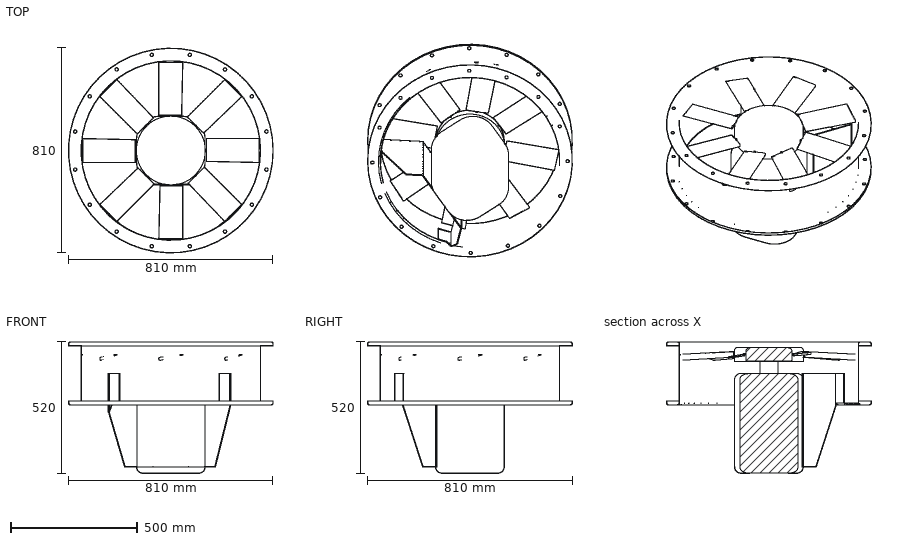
import cadquery as cq
import math

CASING_HEIGHT = 250.0
FLANGE_RADIUS = 405.0
BORE_RADIUS = 354.0
SHEET = 1.2
BEND_RADIUS = 8.0
LIP_HEIGHT = 16.0

BOLT_COUNT = 16
BOLT_CIRCLE_RADIUS = 385.5
BOLT_DIAMETER = 12.0

MOTOR_WIDTH = 272.0
MOTOR_CORNER_RADIUS = 92.0
MOTOR_END_FILLET = 26.0
MOTOR_TOP = CASING_HEIGHT / 2
MOTOR_BOTTOM = -270.0

HUB_RADIUS = 273.0 / 2
HUB_BOTTOM = 172.5
HUB_TOP = 228.5
HUB_FILLET = 14.0
SHAFT_DIAMETER = 70.5

BLADE_COUNT = 8
BLADE_ROOT_RADIUS = 140.0
BLADE_TIP_RADIUS = 349.0
THICK_EDGE_RADIUS = 6.1
THIN_EDGE_RADIUS = 2.0
THICK_EDGE_OFFSET = 41.7
ROOT_THIN_EDGE_OFFSET = 41.7
TIP_THIN_EDGE_OFFSET = 46.0
ROOT_LOW_EDGE_Z = 191.0
ROOT_HIGH_EDGE_Z = 206.0
TIP_LOW_EDGE_Z = 183.0
TIP_HIGH_EDGE_Z = 199.0
PIN_DIAMETER = 7.0
PIN_Z = (HUB_BOTTOM + HUB_TOP) / 2
PIN_EMBED = 1.0

BRACKET_THICKNESS = 4.0
BRACKET_TOP = MOTOR_TOP
BRACKET_BOTTOM = -245.0
PLATE_HALF_WIDTH = 134.5
PLATE_FACE_Y = -MOTOR_WIDTH / 2
LEFT_WING_FOOT = (-179.0, -187.0)
LEFT_WING_END = (-244.0, -257.0)
LEFT_WING_END_Z = -27.0
RIGHT_WING_FOOT = (173.0, -187.0)
RIGHT_WING_END = (234.0, -266.5)
RIGHT_WING_END_Z = 0.0
TAB_WIDTH = 53.0
TAB_STAND_OUT = 0.4
TAB_OUTER_RADIUS = BORE_RADIUS + SHEET + TAB_STAND_OUT
TAB_BOTTOM = 8.0
TAB_EDGE_SLOPE = 2.0


def make_casing():
    lip_radius = FLANGE_RADIUS - BEND_RADIUS
    neck_radius = BORE_RADIUS + BEND_RADIUS
    low = BEND_RADIUS
    high = CASING_HEIGHT - BEND_RADIUS
    back_bend = BEND_RADIUS - SHEET
    diagonal = math.sqrt(0.5)

    def bend(outline, center, radius, side, end_side):
        """Add a quarter bend round `center`, from its `side` direction to its `end_side` direction."""
        middle = [center[i] + radius * diagonal * (side[i] + end_side[i]) for i in (0, 1)]
        end = [center[i] + radius * end_side[i] for i in (0, 1)]
        return outline.threePointArc(tuple(middle), tuple(end))

    out, inward, up, down = (1, 0), (-1, 0), (0, 1), (0, -1)
    outline = cq.Workplane("XZ").moveTo(FLANGE_RADIUS, LIP_HEIGHT).lineTo(FLANGE_RADIUS, low)
    outline = bend(outline, (lip_radius, low), BEND_RADIUS, out, down).lineTo(neck_radius, 0)
    outline = bend(outline, (neck_radius, low), BEND_RADIUS, down, inward).lineTo(BORE_RADIUS, high)
    outline = bend(outline, (neck_radius, high), BEND_RADIUS, inward, up).lineTo(lip_radius, CASING_HEIGHT)
    outline = bend(outline, (lip_radius, high), BEND_RADIUS, up, out)
    outline = outline.lineTo(FLANGE_RADIUS, CASING_HEIGHT - LIP_HEIGHT)
    outline = outline.lineTo(FLANGE_RADIUS - SHEET, CASING_HEIGHT - LIP_HEIGHT)
    outline = outline.lineTo(FLANGE_RADIUS - SHEET, high)
    outline = bend(outline, (lip_radius, high), back_bend, out, up)
    outline = outline.lineTo(neck_radius, CASING_HEIGHT - SHEET)
    outline = bend(outline, (neck_radius, high), back_bend, up, inward)
    outline = outline.lineTo(BORE_RADIUS + SHEET, low)
    outline = bend(outline, (neck_radius, low), back_bend, inward, down).lineTo(lip_radius, SHEET)
    outline = bend(outline, (lip_radius, low), back_bend, down, out)
    outline = outline.lineTo(FLANGE_RADIUS - SHEET, LIP_HEIGHT).close()
    casing = outline.revolve(360, (0, 0, 0), (0, 1, 0))

    bolt_holes = (
        cq.Workplane("XY")
        .polarArray(BOLT_CIRCLE_RADIUS, 180 / BOLT_COUNT, 360, BOLT_COUNT)
        .circle(BOLT_DIAMETER / 2)
        .extrude(CASING_HEIGHT)
    )
    return casing.cut(bolt_holes)


def make_motor():
    return (
        cq.Workplane("XY", origin=(0, 0, MOTOR_BOTTOM))
        .rect(MOTOR_WIDTH, MOTOR_WIDTH)
        .extrude(MOTOR_TOP - MOTOR_BOTTOM)
        .edges("|Z")
        .fillet(MOTOR_CORNER_RADIUS)
        .faces("<Z or >Z")
        .edges()
        .fillet(MOTOR_END_FILLET)
    )


def make_hub():
    hub = (
        cq.Workplane("XY", origin=(0, 0, HUB_BOTTOM))
        .circle(HUB_RADIUS)
        .extrude(HUB_TOP - HUB_BOTTOM)
        .faces(">Z")
        .edges()
        .fillet(HUB_FILLET)
    )
    shaft = (
        cq.Workplane("XY", origin=(0, 0, MOTOR_TOP))
        .circle(SHAFT_DIAMETER / 2)
        .extrude(HUB_BOTTOM - MOTOR_TOP)
    )
    return hub.union(shaft)


def blade_section(radius, low_edge, high_edge):
    """Teardrop wire at x = radius; each edge is (y, z, edge radius), joined by tangent lines."""
    y_low, z_low, r_low = low_edge
    y_high, z_high, r_high = high_edge
    length = math.hypot(y_high - y_low, z_high - z_low)
    chord_angle = math.atan2(z_high - z_low, y_high - y_low)
    tangent_angle = math.acos((r_low - r_high) / length)

    def on_edge(edge, angle):
        y, z, r = edge
        return cq.Vector(radius, y + r * math.cos(angle), z + r * math.sin(angle))

    above = chord_angle + tangent_angle
    below = chord_angle - tangent_angle
    return cq.Wire.assembleEdges([
        cq.Edge.makeLine(on_edge(low_edge, above), on_edge(high_edge, above)),
        cq.Edge.makeThreePointArc(
            on_edge(high_edge, above), on_edge(high_edge, chord_angle), on_edge(high_edge, below)
        ),
        cq.Edge.makeLine(on_edge(high_edge, below), on_edge(low_edge, below)),
        cq.Edge.makeThreePointArc(
            on_edge(low_edge, below), on_edge(low_edge, chord_angle + math.pi), on_edge(low_edge, above)
        ),
    ])


def make_blade():
    """One blade along +X with the pin that holds it to the hub."""
    root = blade_section(
        BLADE_ROOT_RADIUS,
        (-ROOT_THIN_EDGE_OFFSET, ROOT_LOW_EDGE_Z, THIN_EDGE_RADIUS),
        (THICK_EDGE_OFFSET, ROOT_HIGH_EDGE_Z, THICK_EDGE_RADIUS),
    )
    tip = blade_section(
        BLADE_TIP_RADIUS,
        (-THICK_EDGE_OFFSET, TIP_LOW_EDGE_Z, THICK_EDGE_RADIUS),
        (TIP_THIN_EDGE_OFFSET, TIP_HIGH_EDGE_Z, THIN_EDGE_RADIUS),
    )
    blade = cq.Workplane(cq.Solid.makeLoft([root, tip], True))
    pin = (
        cq.Workplane("YZ", origin=(HUB_RADIUS - PIN_EMBED, 0, PIN_Z))
        .circle(PIN_DIAMETER / 2)
        .extrude(BLADE_ROOT_RADIUS - HUB_RADIUS + 2 * PIN_EMBED)
    )
    return blade.union(pin)


def make_wing(side, foot, end, end_z):
    """Wing from the plate edge on `side` (-1 or 1), with its tab curving round the casing.

    `foot` is the (x, y) of its bottom outer corner; its outer edge slopes from there up to
    the (x, y) of `end` at height `end_z`, then rises straight to the bracket top.
    """
    root_x, root_y = side * PLATE_HALF_WIDTH, PLATE_FACE_Y
    span = math.hypot(end[0] - root_x, end[1] - root_y)
    foot_span = math.hypot(foot[0] - root_x, foot[1] - root_y)
    up = cq.Vector(0, 0, 1)
    along = cq.Vector(end[0] - root_x, end[1] - root_y, 0)
    wing_plane = cq.Plane((root_x, root_y, 0), along, along.cross(up))
    wing = (
        cq.Workplane(wing_plane)
        .polyline([
            (-BRACKET_THICKNESS, BRACKET_BOTTOM),
            (foot_span, BRACKET_BOTTOM),
            (span, end_z),
            (span, BRACKET_TOP),
            (-BRACKET_THICKNESS, BRACKET_TOP),
        ])
        .close()
        .extrude(-side * BRACKET_THICKNESS)
    )

    half_angle = math.asin(TAB_WIDTH / 2 / BORE_RADIUS)
    tab_angle = math.atan2(end[1], end[0]) - side * half_angle
    tab_along = cq.Vector(side * math.sin(tab_angle), -side * math.cos(tab_angle), 0)
    tab_plane = cq.Plane((0, 0, 0), tab_along, tab_along.cross(up))
    tab_start = -TAB_WIDTH / 2
    tab_end = TAB_WIDTH / 2
    tab_sides = (
        cq.Workplane(tab_plane)
        .polyline([
            (tab_start - BRACKET_THICKNESS, end_z),
            (tab_start, end_z),
            (tab_start + (TAB_BOTTOM - end_z) / TAB_EDGE_SLOPE, TAB_BOTTOM),
            (tab_end, TAB_BOTTOM),
            (tab_end, BRACKET_TOP),
            (tab_start - BRACKET_THICKNESS, BRACKET_TOP),
        ])
        .close()
        .extrude(-side * FLANGE_RADIUS)
    )
    tab_ring = (
        cq.Workplane("XY", origin=(0, 0, BRACKET_BOTTOM))
        .circle(TAB_OUTER_RADIUS)
        .circle(TAB_OUTER_RADIUS - BRACKET_THICKNESS)
        .extrude(BRACKET_TOP - BRACKET_BOTTOM)
    )
    return wing.union(tab_ring.intersect(tab_sides))


def make_bracket():
    plate = (
        cq.Workplane("XY", origin=(0, PLATE_FACE_Y, BRACKET_BOTTOM))
        .box(
            2 * PLATE_HALF_WIDTH,
            BRACKET_THICKNESS,
            BRACKET_TOP - BRACKET_BOTTOM,
            centered=(True, False, False),
        )
    )
    left_wing = make_wing(-1, LEFT_WING_FOOT, LEFT_WING_END, LEFT_WING_END_Z)
    right_wing = make_wing(1, RIGHT_WING_FOOT, RIGHT_WING_END, RIGHT_WING_END_Z)
    return plate.union(left_wing).union(right_wing)


result = make_casing()
for part in (make_bracket(), make_motor(), make_hub()):
    result = result.union(part, clean=False)
blade = make_blade()
for index in range(BLADE_COUNT):
    turned_blade = blade.rotate((0, 0, 0), (0, 0, 1), index * 360 / BLADE_COUNT)
    result = result.union(turned_blade, clean=False)